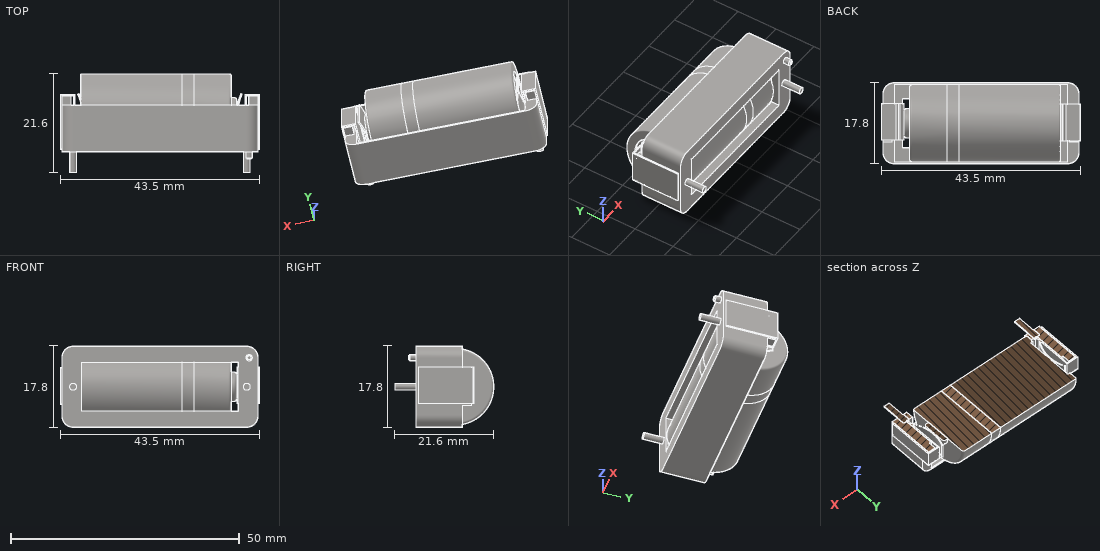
import cadquery as cq
import math


OVERALL_LENGTH = 43.55
SHEET = 0.3

HOUSING_LENGTH = OVERALL_LENGTH - 2 * SHEET
HOUSING_HEIGHT = 17.75
HOUSING_DEPTH = 10.2
CORNER_RADIUS = 2.52
FLOOR = 2.0
CAVITY_LENGTH = 37.8
CAVITY_CLEARANCE = 0.05
WINDOW_LENGTH = 34.2
WINDOW_HEIGHT = 10.6

POST_THICKNESS = 2.05
POST_RISE = 2.0
POST_BOTTOM = -4.15
POST_TOP = 2.87

BOSS_X = 19.5
BOSS_Z = 6.35
BOSS_DIAMETER = 1.4
BOSS_LENGTH = 1.55
BOSS_CHAMFER = 0.25

PIN_X = 19.0
PIN_DIAMETER = 1.52
PIN_PROJECTION = 4.55

CELL_RADIUS = 8.4
CELL_AXIS_Y = 8.65
CELL_LEFT = -17.35
BAND_LEFT = 4.8
BAND_RIGHT = 7.4
CELL_RIGHT = 15.63
BOTTOM_FILLET = 0.25
TOP_FILLET = 0.55
RECESS_RADIUS = 6.15
BUTTON_RADIUS = 3.25
BUTTON_HEIGHT = 1.18
BUTTON_FILLET = 0.65

CONTACT_WIDTH = 8.0
LEFT_CONTACT_Z = 0.17
RIGHT_CONTACT_Z = 0.3
OUTER_LEG_BOTTOM = 0.52
LEAF_RADIUS = 9.58
LEAF_TIP_RISE = 4.05

LEAF_CREST_X = CELL_RIGHT + BUTTON_HEIGHT
RECESS_DEPTH = -CELL_LEFT - LEAF_CREST_X


def box(x_min, x_max, y_min, y_max, z_min, z_max):
    size = (x_max - x_min, y_max - y_min, z_max - z_min)
    return cq.Workplane("XY").box(*size, centered=False).translate((x_min, y_min, z_min))


def rod_x(radius, x_min, x_max):
    """Cylinder on the cell axis between two X positions."""
    plane = cq.Workplane("YZ", origin=(x_min, CELL_AXIS_Y, 0))
    return plane.circle(radius).extrude(x_max - x_min)


def rod_y(x, z, diameter, y_min, y_max):
    """Cylinder parallel to Y between two Y positions."""
    plane = cq.Workplane("XZ", origin=(x, y_max, z))
    return plane.circle(diameter / 2).extrude(y_max - y_min)


def make_post():
    """Right-hand post, standing on the end wall under the contact cap."""
    outer_x = HOUSING_LENGTH / 2
    post_back = HOUSING_DEPTH + POST_RISE
    return box(outer_x - POST_THICKNESS, outer_x, FLOOR, post_back, POST_BOTTOM, POST_TOP)


def make_boss():
    boss = rod_y(BOSS_X, BOSS_Z, BOSS_DIAMETER, -BOSS_LENGTH, 0)
    return boss.faces("<Y").chamfer(BOSS_CHAMFER)


def make_housing():
    half_length = HOUSING_LENGTH / 2
    half_height = HOUSING_HEIGHT / 2
    body = box(-half_length, half_length, 0, HOUSING_DEPTH, -half_height, half_height)
    body = body.edges("|Y").fillet(CORNER_RADIUS)

    cavity_half_length = CAVITY_LENGTH / 2
    cavity_half_height = CELL_RADIUS + CAVITY_CLEARANCE
    cavity = box(-cavity_half_length, cavity_half_length, FLOOR, HOUSING_DEPTH,
                 -cavity_half_height, cavity_half_height)
    window = box(-WINDOW_LENGTH / 2, WINDOW_LENGTH / 2, 0, FLOOR,
                 -WINDOW_HEIGHT / 2, WINDOW_HEIGHT / 2)
    cell_seat = rod_x(CELL_RADIUS, CELL_LEFT, CELL_RIGHT)
    body = body.cut(cavity).cut(window).cut(cell_seat)

    right_post = make_post()
    body = body.union(right_post).union(right_post.mirror("YZ")).union(make_boss())
    for side in (-1, 1):
        body = body.cut(rod_y(side * PIN_X, 0, PIN_DIAMETER, 0, FLOOR))
    return body


def make_pin(x):
    """Terminal pin, flush with the cavity floor."""
    return rod_y(x, 0, PIN_DIAMETER, -PIN_PROJECTION, FLOOR)


def make_clip():
    """Right-hand strip folded over the end wall and its post."""
    outer_x = HOUSING_LENGTH / 2
    inner_x = CAVITY_LENGTH / 2
    cap_y = HOUSING_DEPTH + POST_RISE
    outline = [
        (outer_x, OUTER_LEG_BOTTOM),
        (outer_x + SHEET, OUTER_LEG_BOTTOM),
        (outer_x + SHEET, cap_y + SHEET),
        (inner_x - SHEET, cap_y + SHEET),
        (inner_x - SHEET, FLOOR),
        (inner_x, FLOOR),
        (inner_x, cap_y),
        (outer_x, cap_y),
    ]
    return cq.Workplane("XY").polyline(outline).close().extrude(CONTACT_WIDTH / 2, both=True)


def make_leaf():
    """Right-hand curved leaf, from the inner leg of the clip up past the cell axis."""
    centre_x = LEAF_CREST_X + LEAF_RADIUS
    leg_middle_x = (CAVITY_LENGTH - SHEET) / 2
    tip_angle = math.asin(LEAF_TIP_RISE / LEAF_RADIUS)
    middle_radius = LEAF_RADIUS - SHEET / 2
    root_angle = -math.acos((centre_x - leg_middle_x) / middle_radius)

    def arc_point(radius, angle):
        return (centre_x - radius * math.cos(angle), CELL_AXIS_Y + radius * math.sin(angle))

    back_radius = LEAF_RADIUS - SHEET
    leaf = (
        cq.Workplane("XY")
        .moveTo(*arc_point(LEAF_RADIUS, root_angle))
        .threePointArc(arc_point(LEAF_RADIUS, 0), arc_point(LEAF_RADIUS, tip_angle))
        .lineTo(*arc_point(back_radius, tip_angle))
        .threePointArc(arc_point(back_radius, 0), arc_point(back_radius, root_angle))
        .close()
        .extrude(CONTACT_WIDTH / 2, both=True)
    )
    wall_side = box(CAVITY_LENGTH / 2, centre_x, 0, HOUSING_DEPTH, -CONTACT_WIDTH, CONTACT_WIDTH)
    return leaf.cut(wall_side)


def make_contact():
    """Right-hand contact, centred on Z = 0."""
    return make_clip().union(make_leaf())


def make_cell_bottom():
    """Negative end of the cell, with the recess for the left leaf."""
    body = rod_x(CELL_RADIUS, CELL_LEFT, BAND_LEFT).faces("<X").edges().fillet(BOTTOM_FILLET)
    return body.cut(rod_x(RECESS_RADIUS, CELL_LEFT, CELL_LEFT + RECESS_DEPTH))


def make_cell_band():
    return rod_x(CELL_RADIUS, BAND_LEFT, BAND_RIGHT)


def make_cell_top():
    """Positive end of the cell."""
    return rod_x(CELL_RADIUS, BAND_RIGHT, CELL_RIGHT).faces(">X").edges().fillet(TOP_FILLET)


def make_button():
    """Positive terminal of the cell."""
    button = rod_x(BUTTON_RADIUS, CELL_RIGHT, CELL_RIGHT + BUTTON_HEIGHT)
    return button.faces(">X").edges().fillet(BUTTON_FILLET)


housing = make_housing()
pins = [make_pin(side * PIN_X) for side in (-1, 1)]
contact = make_contact()
left_contact = contact.mirror("YZ").translate((0, 0, LEFT_CONTACT_Z))
right_contact = contact.translate((0, 0, RIGHT_CONTACT_Z))
cell_bottom = make_cell_bottom()
cell_band = make_cell_band()
cell_top = make_cell_top()
button = make_button()

bodies = [housing, *pins, left_contact, right_contact, cell_bottom, cell_band, cell_top, button]
result = cq.Compound.makeCompound([body.solids().val() for body in bodies])